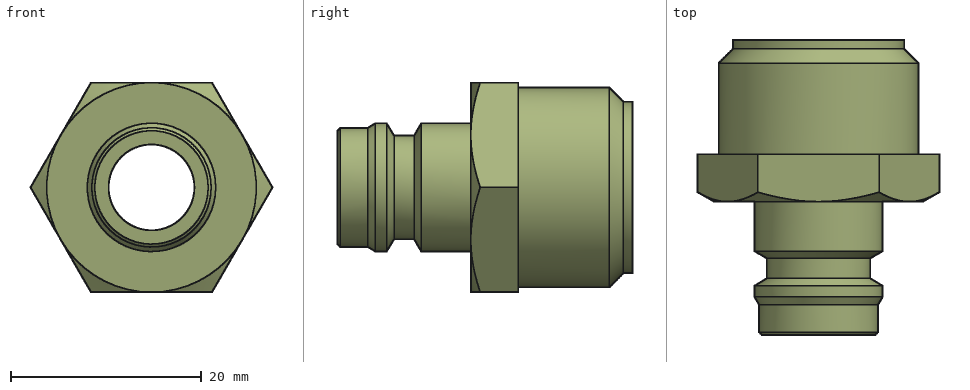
import cadquery as cq
import math

length = 31.0
hex_front = 14.0
hex_back = 19.0
thread_end = 28.55
relief_start = 30.05

tip_chamfer = 0.3
collar_ramp_start = 3.2
collar_start = 4.0
collar_end = 5.18
groove_start = 5.95
groove_end = 8.05
shank_start = 8.8
tip_diameter = 12.52
shank_diameter = 13.5
groove_diameter = 10.9

thread_diameter = 21.02
end_diameter = 18.0
bore_diameter = 9.0
across_flats = 22.0
hex_chamfer_angle = 30.0

tip_radius = tip_diameter / 2
shank_radius = shank_diameter / 2
groove_radius = groove_diameter / 2
thread_radius = thread_diameter / 2
end_radius = end_diameter / 2
flat_radius = across_flats / 2
corner_radius = flat_radius / math.cos(math.radians(30))


def revolve_about_y(points):
    """Revolve a closed (radius, Y) outline around the Y axis."""
    return cq.Workplane("XY").polyline(points).close().revolve(360, (0, 0, 0), (0, 1, 0))


def make_turned_body():
    """Stepped plug, grooved neck and plain threaded end as one solid of revolution."""
    return revolve_about_y([
        (0, 0),
        (tip_radius - tip_chamfer, 0),
        (tip_radius, tip_chamfer),
        (tip_radius, collar_ramp_start),
        (shank_radius, collar_start),
        (shank_radius, collar_end),
        (groove_radius, groove_start),
        (groove_radius, groove_end),
        (shank_radius, shank_start),
        (shank_radius, hex_back),
        (thread_radius, hex_back),
        (thread_radius, thread_end),
        (end_radius, relief_start),
        (end_radius, length),
        (0, length),
    ])


def make_hexagon():
    """Hexagon with corners on X, its corners chamfered on the plug side."""
    prism = (
        cq.Workplane("XZ", origin=(0, hex_back, 0))
        .polygon(6, 2 * corner_radius)
        .extrude(hex_back - hex_front)
    )
    chamfer_depth = (corner_radius - flat_radius) * math.tan(math.radians(hex_chamfer_angle))
    chamfer_envelope = revolve_about_y([
        (0, hex_front),
        (flat_radius, hex_front),
        (corner_radius, hex_front + chamfer_depth),
        (corner_radius, hex_back),
        (0, hex_back),
    ])
    return prism.intersect(chamfer_envelope)


def make_bore():
    """Straight passage through the whole length."""
    return cq.Workplane("XZ").circle(bore_diameter / 2).extrude(-length)


centred = (0, -length / 2, 0)
result = make_turned_body().union(make_hexagon()).cut(make_bore()).translate(centred)